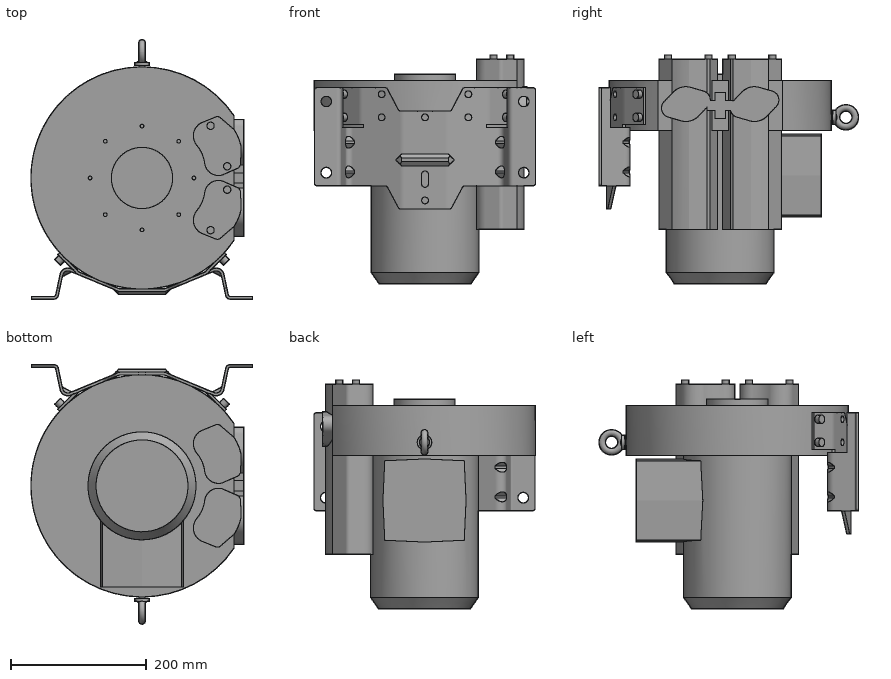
import cadquery as cq
import math

MOTOR_CHAMFER_TOP = 17.0
DISC_BOTTOM = 225.5
DISC_TOP = 299.2
HUB_TOP = 308.5
SILENCER_BOTTOM = 80.3
SILENCER_TOP = 330.5
COVER_BOLT_TOP = 336.5
DISC_MIDDLE = (DISC_BOTTOM + DISC_TOP) / 2

DISC_RADIUS = 163.5
DISC_FLAT_X = 135.5
HUB_RADIUS = 45.0
MOTOR_RADIUS = 79.5
MOTOR_END_RADIUS = 67.5
COVER_HOLE_COUNT = 8
COVER_HOLE_CIRCLE_RADIUS = 76.5
COVER_HOLE_RADIUS = 2.5
COVER_HOLE_DEPTH = 11.5

COVER_BOLT_RADIUS = 5.5
COVER_BOLT_POINTS = [(101.0, 77.0), (125.5, 17.2)]

FLANGE_FACE_X = 149.8
FLANGE_RADIUS = 25.5
FLANGE_TILT_DEGREES = 15
LOBE_RADIUS = 13.8
PORT_Y = 50.5
PORT_Z = 264.5
LOBE_OFFSET = 23.0
WEB_WIDTH = 15.3
WEB_HEIGHT = 38.2
WEB_BASE_WIDTH = 38.2
WEB_BASE_HEIGHT = 15.3

BOX_CORNER = 58.5
BOX_PEAK = 61.0
BOX_BACK_Y = 149.0
BOX_CENTER_Z = 159.5

EYE_Y = 185.0
EYE_Z = 245.0
EYE_RING_RADIUS = 13.8
EYE_WIRE_RADIUS = 5.0
COLLAR_RADIUS = 10.7
COLLAR_BOTTOM_Y = 165.5
COLLAR_TOP_Y = 170.0
EYE_NECK_RADIUS = 4.5
EYE_CONE_RADIUS = 7.5
EYE_CONE_LENGTH = 3.0
EYE_CONE_END_RADIUS = 3.5

SHEET = 4.2
SEAT_OVERLAP = 0.5
INNER_FACE = DISC_RADIUS - SEAT_OVERLAP
FACE_STEP = math.radians(22.5)
WING_ANGLE = 2 * FACE_STEP
WING_OVERHANG = 8.0
LEG_CORNER_X = 117.7
LEG_TILT = math.radians(12)
FOOT_BOTTOM_Y = -178.5
FOOT_END_X = 162.8
PANEL_BEND_RADIUS = 11.5
LEG_BEND_RADIUS = 7.5
FOOT_BEND_RADIUS = 2.5
TAB_BOTTOM = 110.0
LEG_BOTTOM = 144.0
PANEL_TOP = 254.0
BRACKET_TOP = 288.5
TAB_HALF_WIDTH = 38.2
SHOULDER_HALF_WIDTH = 56.0
OUTLINE_ROUND = 4.0
SLIT_X = 90.0
SLIT_BOTTOM = 230.0
SLIT_TOP = 234.3
NOTCH_Y = -161.5

HOLE_RADIUS = 5.0
SCREW_HEIGHTS = [245.0, 279.0]
PANEL_HOLE_X = 64.0
TAB_HOLE_Z = 122.5
SLOT_CENTER_Z = 154.0
SLOT_LENGTH = 24.0
FOOT_HOLE_X = 145.2
FOOT_HOLE_RADIUS = 7.5
FOOT_HOLE_HEIGHTS = [163.5, 268.3]
SCREW_RADIUS = 6.0
SCREW_FACE_RADIUS = 175.8
RIB_Z = 182.3
RIB_HEIGHT = 17.2
RIB_BASE_HALF_LENGTH = 43.0
RIB_CREST_HALF_LENGTH = 34.5
RIB_BASE_Y = -162.8
RIB_CREST_Y = -171.5
RIB_CREST_HEIGHT = 5.5
GUSSET_HEIGHTS = [164.7, 208.3]
GUSSET_HALF_HEIGHT = 8.8
GUSSET_CREST_HALF_HEIGHT = 1.5
GUSSET_HALF_LENGTH = 8.0
GUSSET_DEPTH = 5.0
GROOVE_HALF_HEIGHT = 7.3
GROOVE_HALF_LENGTH = 13.5


def cylinder(radius, bottom, top, center=(0, 0)):
    """Upright cylinder between two heights."""
    return cq.Workplane("XY", origin=(*center, bottom)).circle(radius).extrude(top - bottom)


def y_rod(radius, x, z):
    """Rod along Y that crosses the whole depth of the bracket."""
    y_start = -DISC_RADIUS * math.cos(FACE_STEP * 1.5)
    return cq.Workplane("XZ", origin=(x, y_start, z)).circle(radius).extrude(y_start - FOOT_BOTTOM_Y)


def both_sides(half):
    """The shape together with its mirror image across X = 0."""
    return half.union(half.mirror("YZ"))


def make_housing():
    disc = cylinder(DISC_RADIUS, DISC_BOTTOM, DISC_TOP)
    flat = cq.Workplane("XY", origin=(DISC_FLAT_X, 0, 0)).box(
        DISC_RADIUS, 2 * DISC_RADIUS, DISC_TOP, centered=(False, True, False))
    holes = (
        cq.Workplane("XY", origin=(0, 0, DISC_TOP - COVER_HOLE_DEPTH))
        .polarArray(COVER_HOLE_CIRCLE_RADIUS, 0, 360, COVER_HOLE_COUNT)
        .circle(COVER_HOLE_RADIUS)
        .extrude(COVER_HOLE_DEPTH)
    )
    hub = cylinder(HUB_RADIUS, DISC_TOP, HUB_TOP)
    return disc.cut(flat).cut(holes).union(hub)


def make_motor():
    profile = [
        (0, 0), (MOTOR_END_RADIUS, 0), (MOTOR_RADIUS, MOTOR_CHAMFER_TOP),
        (MOTOR_RADIUS, DISC_BOTTOM), (0, DISC_BOTTOM),
    ]
    return cq.Workplane("XZ").polyline(profile).close().revolve(360, (0, 0, 0), (0, 1, 0))


def make_terminal_box():
    corner, peak = BOX_CORNER, BOX_PEAK
    outline = [
        (corner, corner), (0, peak), (-corner, corner), (-peak, 0),
        (-corner, -corner), (0, -peak), (corner, -corner), (peak, 0),
    ]
    return cq.Workplane("XZ", origin=(0, 0, BOX_CENTER_Z)).polyline(outline).close().extrude(-BOX_BACK_Y)


def make_silencer():
    """Silencer on the +Y side, running past the housing above and below."""
    body = (
        cq.Workplane("XY", origin=(0, 0, SILENCER_BOTTOM))
        .moveTo(107.8, 89.5)
        .threePointArc((112.0, 90.0), (115.8, 88.3))
        .lineTo(135.5, 71.0)
        .threePointArc((142.5, 57.5), (146.0, 45.5))
        .lineTo(145.0, 19.0)
        .lineTo(142.0, 15.0)
        .lineTo(117.7, 4.2)
        .threePointArc((99.0, 8.8), (92.0, 23.0))
        .threePointArc((86.8, 39.0), (79.5, 49.3))
        .threePointArc((76.5, 56.0), (75.5, 62.0))
        .threePointArc((79.5, 74.5), (88.0, 81.5))
        .close()
        .extrude(SILENCER_TOP - SILENCER_BOTTOM)
    )
    for point in COVER_BOLT_POINTS:
        body = body.union(cylinder(COVER_BOLT_RADIUS, SILENCER_TOP, COVER_BOLT_TOP, point))
    return body


def make_port_flange(center_y):
    """Flange with a round middle and straight tangents to a lobe on each side."""
    tangent_cos = (FLANGE_RADIUS - LOBE_RADIUS) / LOBE_OFFSET
    tangent_sin = math.sqrt(1 - tangent_cos ** 2)

    def on_circle(offset, radius, side, up):
        return side * (offset + radius * tangent_cos), up * radius * tangent_sin

    thickness = FLANGE_FACE_X - DISC_FLAT_X
    lobe_end = LOBE_OFFSET + LOBE_RADIUS
    return (
        cq.Workplane("YZ", origin=(DISC_FLAT_X, center_y, PORT_Z))
        .transformed(rotate=(0, 0, FLANGE_TILT_DEGREES))
        .moveTo(*on_circle(0, FLANGE_RADIUS, -1, 1))
        .threePointArc((0, FLANGE_RADIUS), on_circle(0, FLANGE_RADIUS, 1, 1))
        .lineTo(*on_circle(LOBE_OFFSET, LOBE_RADIUS, 1, 1))
        .threePointArc((lobe_end, 0), on_circle(LOBE_OFFSET, LOBE_RADIUS, 1, -1))
        .lineTo(*on_circle(0, FLANGE_RADIUS, 1, -1))
        .threePointArc((0, -FLANGE_RADIUS), on_circle(0, FLANGE_RADIUS, -1, -1))
        .lineTo(*on_circle(LOBE_OFFSET, LOBE_RADIUS, -1, -1))
        .threePointArc((-lobe_end, 0), on_circle(LOBE_OFFSET, LOBE_RADIUS, -1, 1))
        .close()
        .extrude(thickness)
    )


def make_port_web():
    """Web between the two port flanges, on a wider base that joins them."""
    plane = cq.Workplane("YZ", origin=(DISC_FLAT_X, 0, DISC_MIDDLE))
    thickness = FLANGE_FACE_X - DISC_FLAT_X
    web = plane.rect(WEB_WIDTH, WEB_HEIGHT).extrude(thickness)
    base = plane.rect(WEB_BASE_WIDTH, WEB_BASE_HEIGHT).extrude(thickness)
    return web.union(base)


def make_half_ring(side):
    """Half of the eye: side 1 gives the half next to the housing, -1 the other half."""
    return (
        cq.Workplane("XZ", origin=(0, EYE_Y, EYE_Z)).moveTo(0, EYE_RING_RADIUS).circle(EYE_WIRE_RADIUS)
        .revolve(180, (0, 0, 0), (side, 0, 0))
    )


def make_eye_bolt():
    profile = [
        (0, DISC_RADIUS - EYE_NECK_RADIUS),
        (EYE_NECK_RADIUS, DISC_RADIUS - EYE_NECK_RADIUS),
        (EYE_NECK_RADIUS, COLLAR_BOTTOM_Y),
        (COLLAR_RADIUS, COLLAR_BOTTOM_Y),
        (COLLAR_RADIUS, COLLAR_TOP_Y),
        (EYE_CONE_RADIUS, COLLAR_TOP_Y),
        (EYE_CONE_END_RADIUS, COLLAR_TOP_Y + EYE_CONE_LENGTH),
        (0, COLLAR_TOP_Y + EYE_CONE_LENGTH),
    ]
    stem = (
        cq.Workplane("XY", origin=(0, 0, EYE_Z)).polyline(profile).close()
        .revolve(360, (0, 0, 0), (0, 1, 0))
    )
    return make_half_ring(1).union(stem).union(make_half_ring(-1), clean=False)


def tangent_corner(distance, first_angle, second_angle):
    """Where two lines at this distance from the axis meet; angles turn from -Y towards +X."""
    middle = (first_angle + second_angle) / 2
    reach = distance / math.cos((second_angle - first_angle) / 2)
    return reach * math.sin(middle), -reach * math.cos(middle)


def direction(start, end):
    length = math.hypot(end[0] - start[0], end[1] - start[1])
    return (end[0] - start[0]) / length, (end[1] - start[1]) / length


def offset_path(path, distance):
    """Open path moved to its right by the distance, with sharp corners."""
    directions = [direction(a, b) for a, b in zip(path, path[1:])]
    moved = []
    for index, (x, y) in enumerate(path):
        before = directions[max(index - 1, 0)]
        after = directions[min(index, len(directions) - 1)]
        scale = distance / (1 + before[0] * after[0] + before[1] * after[1])
        moved.append((x + scale * (before[1] + after[1]), y - scale * (before[0] + after[0])))
    return moved


def bend_sheet(path, inner_radii, bottom, top):
    """Bent sheet whose disc-side face follows the path, with one radius for each bend."""
    far_path = offset_path(path, SHEET)
    sheet = (
        cq.Workplane("XY", origin=(0, 0, bottom))
        .polyline(path + far_path[::-1])
        .close()
        .extrude(top - bottom)
    )
    middle_z = (bottom + top) / 2
    for index, inner_radius in enumerate(inner_radii, start=1):
        before = direction(path[index - 1], path[index])
        after = direction(path[index], path[index + 1])
        turns_left = before[0] * after[1] - before[1] * after[0] > 0
        near_radius = inner_radius if turns_left else inner_radius + SHEET
        far_radius = inner_radius + SHEET if turns_left else inner_radius
        for corner, radius in ((path[index], near_radius), (far_path[index], far_radius)):
            edge = cq.selectors.NearestToPointSelector((*corner, middle_z))
            sheet = sheet.edges(edge).fillet(radius)
    return sheet


CENTER = (0, -INNER_FACE)
PANEL_CORNER = tangent_corner(INNER_FACE, 0, FACE_STEP)
WING_CORNER = tangent_corner(INNER_FACE, FACE_STEP, WING_ANGLE)
WING_END = (
    INNER_FACE * math.sin(WING_ANGLE) + WING_OVERHANG * math.cos(WING_ANGLE),
    -INNER_FACE * math.cos(WING_ANGLE) + WING_OVERHANG * math.sin(WING_ANGLE),
)
LEG_CORNER = (LEG_CORNER_X, (LEG_CORNER_X * math.sin(FACE_STEP) - INNER_FACE) / math.cos(FACE_STEP))
FOOT_TOP_Y = FOOT_BOTTOM_Y + SHEET
FOOT_CORNER = (LEG_CORNER_X + (LEG_CORNER[1] - FOOT_TOP_Y) * math.tan(LEG_TILT), FOOT_TOP_Y)
FOOT_END = (FOOT_END_X, FOOT_TOP_Y)
LEG_PATH = [CENTER, PANEL_CORNER, LEG_CORNER, FOOT_CORNER, FOOT_END]
WING_PATH = [CENTER, PANEL_CORNER, WING_CORNER, WING_END]
TO_PANEL = direction(LEG_CORNER, PANEL_CORNER)
TO_FOOT = direction(LEG_CORNER, FOOT_CORNER)


def make_wedge(crest_distance, base_distance, half_height, half_length, z):
    """Tapered bar across the leg bend; distances run inward from the sharp disc-side corner."""
    inward = direction((0, 0), (TO_PANEL[0] + TO_FOOT[0], TO_PANEL[1] + TO_FOOT[1]))
    across = cq.Vector(-inward[1], inward[0], 0)
    origin = cq.Vector(*LEG_CORNER, z) - across * half_length
    plane = cq.Plane(origin=origin, xDir=cq.Vector(*inward, 0), normal=across)
    half_section = [(base_distance, half_height), (crest_distance, GUSSET_CREST_HALF_HEIGHT)]
    section = half_section + [(depth, -height) for depth, height in reversed(half_section)]
    return cq.Workplane(plane).polyline(section).close().extrude(2 * half_length)


def add_gussets(sheet):
    """Pressed stiffeners: a ridge inside the leg bend and a matching groove outside."""
    half_angle = math.acos(TO_PANEL[0] * TO_FOOT[0] + TO_PANEL[1] * TO_FOOT[1]) / 2
    outer_arc = (LEG_BEND_RADIUS + SHEET) * (1 / math.sin(half_angle) - 1)
    inner_arc = outer_arc + SHEET
    for z in GUSSET_HEIGHTS:
        ridge = make_wedge(inner_arc + GUSSET_DEPTH, inner_arc, GUSSET_HALF_HEIGHT, GUSSET_HALF_LENGTH, z)
        groove = make_wedge(outer_arc + GUSSET_DEPTH, outer_arc, GROOVE_HALF_HEIGHT, GROOVE_HALF_LENGTH, z)
        sheet = sheet.union(ridge).cut(groove)
    return sheet


def make_outline():
    """Block with the bracket's outline as seen along Y."""
    half = [
        (TAB_HALF_WIDTH, TAB_BOTTOM), (SHOULDER_HALF_WIDTH, LEG_BOTTOM),
        (FOOT_END_X, LEG_BOTTOM), (FOOT_END_X, BRACKET_TOP),
        (SHOULDER_HALF_WIDTH, BRACKET_TOP), (TAB_HALF_WIDTH, PANEL_TOP),
    ]
    other_half = [(-x, z) for x, z in reversed(half)]
    return (
        cq.Workplane("XZ").polyline(half + other_half).close()
        .extrude(-FOOT_BOTTOM_Y)
        .edges("|Y").fillet(OUTLINE_ROUND)
    )


def make_rib():
    """Pressed rib across the middle panel, with pointed and sloping ends."""
    half_height = RIB_HEIGHT / 2
    panel_y = -INNER_FACE - SHEET
    plan = [
        (-RIB_BASE_HALF_LENGTH, RIB_BASE_Y), (-RIB_CREST_HALF_LENGTH, RIB_CREST_Y),
        (RIB_CREST_HALF_LENGTH, RIB_CREST_Y), (RIB_BASE_HALF_LENGTH, RIB_BASE_Y),
    ]
    half_section = [
        (RIB_BASE_Y, half_height), (panel_y, half_height), (RIB_CREST_Y, RIB_CREST_HEIGHT / 2),
    ]
    section = half_section + [(y, -z) for y, z in reversed(half_section)]
    half_front = [
        (RIB_CREST_HALF_LENGTH, -half_height), (RIB_BASE_HALF_LENGTH, 0),
        (RIB_CREST_HALF_LENGTH, half_height),
    ]
    front = half_front + [(-x, z) for x, z in reversed(half_front)]
    center = (0, 0, RIB_Z)
    bar = cq.Workplane("YZ", origin=center).polyline(section).close().extrude(RIB_BASE_HALF_LENGTH, both=True)
    sloped = cq.Workplane("XY", origin=center).polyline(plan).close().extrude(RIB_HEIGHT, both=True)
    pointed = cq.Workplane("XZ", origin=center).polyline(front).close().extrude(-FOOT_BOTTOM_Y)
    return bar.intersect(sloped).intersect(pointed)


def make_bracket():
    leg_radii = [PANEL_BEND_RADIUS, LEG_BEND_RADIUS, FOOT_BEND_RADIUS]
    wing_radii = [PANEL_BEND_RADIUS, PANEL_BEND_RADIUS]
    legs = bend_sheet(LEG_PATH, leg_radii, TAB_BOTTOM, BRACKET_TOP)
    notch = cq.Workplane("XY", origin=(SLIT_X, NOTCH_Y, SLIT_BOTTOM)).box(
        FOOT_END_X, DISC_RADIUS, BRACKET_TOP, centered=False)
    legs = add_gussets(legs.cut(notch))
    wings = bend_sheet(WING_PATH, wing_radii, SLIT_TOP, BRACKET_TOP)
    bracket = both_sides(legs.union(wings)).intersect(make_outline())

    holes = [(0, SCREW_HEIGHTS[0], HOLE_RADIUS), (0, TAB_HOLE_Z, HOLE_RADIUS)]
    for side in (-1, 1):
        holes += [(side * PANEL_HOLE_X, z, HOLE_RADIUS) for z in SCREW_HEIGHTS]
        holes += [(side * FOOT_HOLE_X, z, FOOT_HOLE_RADIUS) for z in FOOT_HOLE_HEIGHTS]
    for x, z, radius in holes:
        bracket = bracket.cut(y_rod(radius, x, z))
    slot = (
        cq.Workplane("XZ", origin=(0, 0, SLOT_CENTER_Z))
        .slot2D(SLOT_LENGTH, 2 * HOLE_RADIUS, 90)
        .extrude(-FOOT_BOTTOM_Y)
    )
    return bracket.cut(slot).union(make_rib())


def make_wing_screws():
    """Screws on the +X wing, reaching through it to the housing."""
    outward = cq.Vector(math.sin(WING_ANGLE), -math.cos(WING_ANGLE), 0)
    length = SCREW_FACE_RADIUS - INNER_FACE
    screws = cq.Workplane("XY")
    for z in SCREW_HEIGHTS:
        start = outward * INNER_FACE + cq.Vector(0, 0, z)
        screws = screws.add(cq.Solid.makeCylinder(SCREW_RADIUS, length, start, outward))
    return screws.combine()


silencer = make_silencer()

result = (
    make_housing()
    .union(make_motor())
    .union(make_terminal_box())
    .union(silencer)
    .union(silencer.mirror("XZ"))
    .union(make_port_flange(PORT_Y))
    .union(make_port_flange(-PORT_Y))
    .union(make_port_web())
    .union(make_bracket())
    .union(both_sides(make_wing_screws()))
    .union(make_eye_bolt(), clean=False)
)